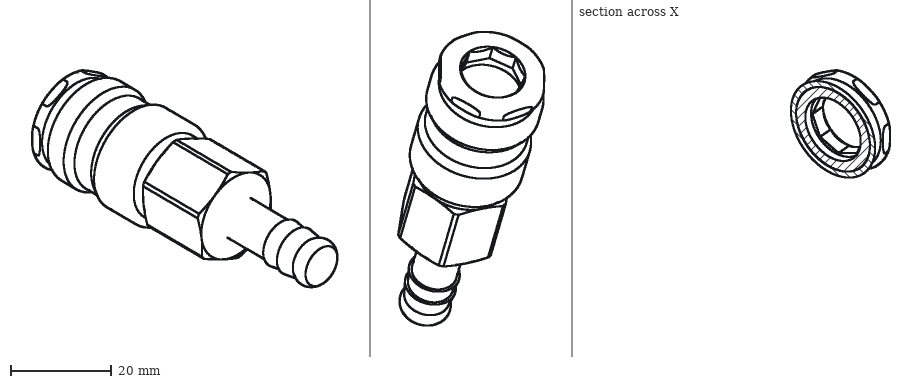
import cadquery as cq
import math

total_length = 73.5

flange_length = 2.5
flange_diameter = 22.0
flange_across_flats = 21.0
flange_edge_radius = 0.8

collar_diameter = 20.05
neck_diameter = 18.95

socket_corner_diameter = 13.3
socket_sides = 8
socket_end = 3.45
mouth_chamfer_angle = 38.0
chamber_diameter = 14.0
chamber_end = 6.0

sleeve_start = 5.2
sleeve_end = 28.7
sleeve_diameter = 23.15
sleeve_front_radius = 1.0
sleeve_rear_radius = 0.9
waist_diameter = 21.0
waist_start = 12.45
waist_end = 17.35
waist_slope_length = 2.0

hex_start = 31.5
hex_end = 48.5
hex_across_flats = 19.0
hex_corner_diameter = 21.4
hex_turn = 7.0
hex_face_diameter = 19.0
hex_chamfer_length = 0.5

stem_diameter = 9.2
stem_root_radius = 1.0
barb_diameter = 10.4
barb_land = 0.2
barb_pitch = 4.0
barb_count = 2
first_barb_start = 62.0
bulb_start = first_barb_start + barb_count * barb_pitch
bulb_end_diameter = 8.75


def disc(start, end, diameter):
    """A cylinder along X."""
    return cq.Workplane("YZ", origin=(start, 0, 0)).circle(diameter / 2).extrude(end - start)


def prism(start, end, sides, corner_diameter, turn):
    """A regular prism along X, with a corner turned by `turn` degrees from +Z towards -Y."""
    outline = cq.Workplane("YZ", origin=(start, 0, 0)).polygon(sides, corner_diameter)
    return outline.extrude(end - start).rotate((0, 0, 0), (1, 0, 0), 90 + turn)


def across_corners(across_flats):
    """Corner diameter of a sharp hexagon."""
    return across_flats / math.cos(math.pi / 6)


def spin(profile):
    """A solid of revolution about X from an outline in the XY plane."""
    return profile.close().revolve(360, (0, 0, 0), (1, 0, 0))


def make_flange():
    rim = disc(0, flange_length, flange_diameter).edges().fillet(flange_edge_radius)
    flats = prism(0, flange_length, 6, across_corners(flange_across_flats), 0)
    return rim.intersect(flats)


def make_hexagon():
    flats = prism(hex_start, hex_end, 6, across_corners(hex_across_flats), hex_turn)
    envelope = spin(
        cq.Workplane("XY")
        .moveTo(hex_start, 0)
        .lineTo(hex_start, hex_face_diameter / 2)
        .lineTo(hex_start + hex_chamfer_length, hex_corner_diameter / 2)
        .lineTo(hex_end - hex_chamfer_length, hex_corner_diameter / 2)
        .lineTo(hex_end, hex_face_diameter / 2)
        .lineTo(hex_end, 0)
    )
    return flats.intersect(envelope)


def make_hose_tail():
    stem_radius = stem_diameter / 2
    barb_radius = barb_diameter / 2
    root_centre = (hex_end + stem_root_radius, stem_radius + stem_root_radius)
    root_middle = (
        root_centre[0] - stem_root_radius * math.sqrt(0.5),
        root_centre[1] - stem_root_radius * math.sqrt(0.5),
    )
    profile = (
        cq.Workplane("XY")
        .moveTo(hex_end, 0)
        .lineTo(hex_end, root_centre[1])
        .threePointArc(root_middle, (root_centre[0], stem_radius))
        .lineTo(first_barb_start, stem_radius)
    )
    for index in range(barb_count):
        barb_start = first_barb_start + index * barb_pitch
        profile = profile.lineTo(barb_start, barb_radius)
        profile = profile.lineTo(barb_start + barb_land, barb_radius)
        profile = profile.lineTo(barb_start + barb_pitch, stem_radius)
    bulb_middle = (bulb_start + total_length) / 2
    profile = profile.threePointArc(
        (bulb_middle, barb_radius), (total_length, bulb_end_diameter / 2)
    ).lineTo(total_length, 0)
    return spin(profile)


def make_socket():
    """The hollow of the socket: chamfered mouth, octagon and round chamber."""
    octagon = prism(0, socket_end, socket_sides, socket_corner_diameter, 0)
    corner_radius = socket_corner_diameter / 2
    flat_radius = corner_radius * math.cos(math.pi / socket_sides)
    mouth_depth = (corner_radius - flat_radius) / math.tan(math.radians(mouth_chamfer_angle))
    mouth = (
        cq.Workplane("XY")
        .lineTo(0, corner_radius)
        .lineTo(mouth_depth, flat_radius)
        .lineTo(mouth_depth, 0)
    )
    return octagon.union(disc(socket_end, chamber_end, chamber_diameter)).union(spin(mouth))


def make_core():
    core = disc(flange_length, sleeve_start, collar_diameter)
    core = core.union(disc(sleeve_start, hex_start, neck_diameter))
    core = core.union(make_flange()).union(make_hexagon()).union(make_hose_tail())
    return core.cut(make_socket())


def make_sleeve():
    outer_radius = sleeve_diameter / 2
    waist_radius = waist_diameter / 2
    bore_radius = neck_diameter / 2
    sleeve = spin(
        cq.Workplane("XY")
        .moveTo(sleeve_start, bore_radius)
        .lineTo(sleeve_start, outer_radius)
        .lineTo(waist_start - waist_slope_length, outer_radius)
        .lineTo(waist_start, waist_radius)
        .lineTo(waist_end, waist_radius)
        .lineTo(waist_end + waist_slope_length, outer_radius)
        .lineTo(sleeve_end, outer_radius)
        .lineTo(sleeve_end, bore_radius)
    )
    at_rim = cq.selectors.RadiusNthSelector(-1)
    sleeve = sleeve.faces("<X").edges(at_rim).fillet(sleeve_front_radius)
    return sleeve.faces(">X").edges(at_rim).fillet(sleeve_rear_radius)


core = make_core()
sleeve = make_sleeve()

result = cq.Compound.makeCompound([core.val(), sleeve.val()])